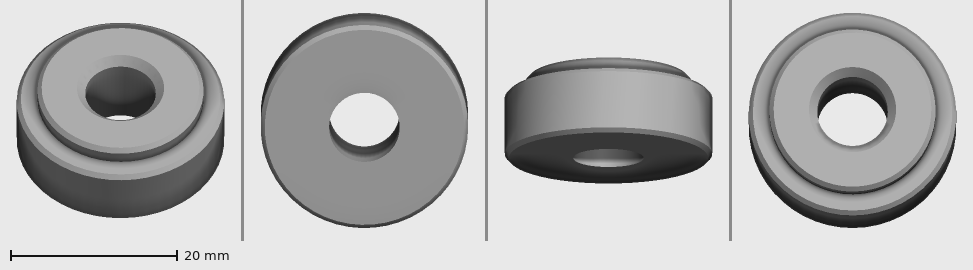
import cadquery as cq

body_diameter = 25
body_height = 8
boss_diameter = 20
total_height = 10
bore_diameter = 8.5
edge_chamfer = 0.5
bore_chamfer = 1

boss_height = total_height - body_height

body = (
    cq.Workplane("XY")
    .circle(body_diameter / 2)
    .extrude(body_height)
    .edges()
    .chamfer(edge_chamfer)
)

boss = (
    cq.Workplane("XY")
    .workplane(offset=body_height)
    .circle(boss_diameter / 2)
    .extrude(boss_height)
    .faces(">Z")
    .edges()
    .chamfer(edge_chamfer)
)

bore_entry_diameter = bore_diameter + 2 * bore_chamfer
countersink_angle = 90
result = (
    body.union(boss)
    .faces(">Z")
    .workplane(centerOption="CenterOfBoundBox")
    .cskHole(bore_diameter, bore_entry_diameter, countersink_angle)
)